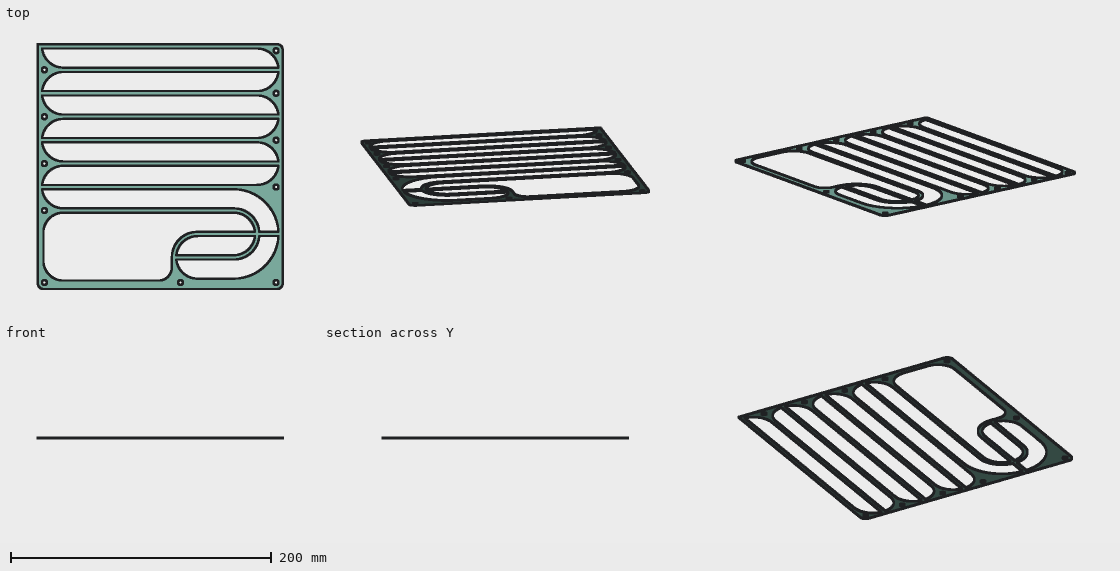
import cadquery as cq
import math

plate_side = 188.0
plate_thickness = 0.6
plate_corner_radius = 4.7
half_side = plate_side / 2

row_pitch = 17.98
bar_width = 3.5
side_border = 3.4
top_border = 3.55
straight_row_count = 6
last_full_row = straight_row_count
ring_upper_row = last_full_row + 1
small_turn_row = ring_upper_row + 1
bottom_row = small_turn_row + 1
half_bar = bar_width / 2
wall_x = half_side - side_border
first_row_top = half_side - top_border

turn_radius = row_pitch - half_bar
turn_outer_radius = row_pitch + half_bar
wide_turn_radius = 2 * row_pitch - half_bar
left_turn_x = -wall_x + turn_radius
right_turn_x = wall_x - turn_radius
wide_turn_x = wall_x - wide_turn_radius

small_turn_left_x = 12.3
small_turn_x = small_turn_left_x + turn_radius

opening_left_border = 4.5
opening_bottom_border = 6.7
opening_left_x = -half_side + opening_left_border
opening_bottom_y = -half_side + opening_bottom_border
opening_corner_radius = 15.0
opening_small_radius = 10.0

hole_diameter = 3.65
hole_inset = 5.15
bottom_hole_x = 15.5
hole_x = half_side - hole_inset


def row_top(row):
    """Upper edge of a row; rows are counted downward from the top border."""
    return first_row_top - row * row_pitch


def row_bottom(row):
    """Lower edge of a row."""
    return row_top(row + 1) + bar_width


def arc_reach(radius):
    """Sideways reach of a turn where it meets the edge of the bar that it is centred on."""
    return math.sqrt(radius**2 - half_bar**2)


def straight_row(row):
    """Opening of one row: it turns about the bar above at one end and the bar below at the other."""
    if row % 2 == 0:
        left_corner_y, right_corner_y = row_top(row), row_bottom(row)
        bend = -turn_radius
    else:
        left_corner_y, right_corner_y = row_bottom(row), row_top(row)
        bend = turn_radius
    return (
        cq.Workplane("XY")
        .moveTo(left_turn_x - arc_reach(turn_radius), left_corner_y)
        .radiusArc((left_turn_x, right_corner_y), bend)
        .lineTo(right_turn_x + arc_reach(turn_radius), right_corner_y)
        .radiusArc((right_turn_x, left_corner_y), bend)
        .close()
        .extrude(plate_thickness)
    )


def upper_wide_turn():
    """Last full-width row with the upper half of the wide turn."""
    row = last_full_row
    crossbar_top = row_bottom(ring_upper_row)
    return (
        cq.Workplane("XY")
        .moveTo(left_turn_x - arc_reach(turn_radius), row_top(row))
        .radiusArc((left_turn_x, row_bottom(row)), -turn_radius)
        .lineTo(wide_turn_x, row_bottom(row))
        .radiusArc((wide_turn_x + arc_reach(turn_outer_radius), crossbar_top), turn_outer_radius)
        .lineTo(wide_turn_x + arc_reach(wide_turn_radius), crossbar_top)
        .radiusArc((wide_turn_x, row_top(row)), -wide_turn_radius)
        .close()
        .extrude(plate_thickness)
    )


def lower_wide_turn():
    """Lower half of the wide turn, ending at the left under the small turn."""
    row = bottom_row
    crossbar_bottom = row_top(small_turn_row)
    return (
        cq.Workplane("XY")
        .moveTo(small_turn_x - arc_reach(turn_radius), row_top(row))
        .radiusArc((small_turn_x, row_bottom(row)), -turn_radius)
        .lineTo(wide_turn_x, row_bottom(row))
        .radiusArc((wide_turn_x + arc_reach(wide_turn_radius), crossbar_bottom), -wide_turn_radius)
        .lineTo(wide_turn_x + arc_reach(turn_outer_radius), crossbar_bottom)
        .radiusArc((wide_turn_x, row_top(row)), turn_outer_radius)
        .close()
        .extrude(plate_thickness)
    )


def small_turn():
    """Opening between the crossbar and the bar below it."""
    row = small_turn_row
    return (
        cq.Workplane("XY")
        .moveTo(small_turn_x - arc_reach(turn_radius), row_bottom(row))
        .lineTo(wide_turn_x, row_bottom(row))
        .radiusArc((wide_turn_x + arc_reach(turn_radius), row_top(row)), -turn_radius)
        .lineTo(small_turn_x, row_top(row))
        .radiusArc((small_turn_x - arc_reach(turn_radius), row_bottom(row)), -turn_radius)
        .close()
        .extrude(plate_thickness)
    )


def large_opening():
    """Lower-left opening, bounded by the wide turn above and the small turn at the right."""
    row = ring_upper_row
    top_y = row_top(row)
    crossbar_top = row_bottom(row)
    right_x = small_turn_x - turn_outer_radius
    bend_y = crossbar_top - turn_outer_radius
    return (
        cq.Workplane("XY")
        .moveTo(opening_left_x, top_y - opening_corner_radius)
        .radiusArc((opening_left_x + opening_corner_radius, top_y), opening_corner_radius)
        .lineTo(wide_turn_x, top_y)
        .radiusArc((wide_turn_x + arc_reach(turn_radius), crossbar_top), turn_radius)
        .lineTo(small_turn_x, crossbar_top)
        .radiusArc((right_x, bend_y), -turn_outer_radius)
        .lineTo(right_x, opening_bottom_y + opening_small_radius)
        .radiusArc((right_x - opening_small_radius, opening_bottom_y), opening_small_radius)
        .lineTo(opening_left_x + opening_corner_radius, opening_bottom_y)
        .radiusArc((opening_left_x, opening_bottom_y + opening_corner_radius), opening_corner_radius)
        .close()
        .extrude(plate_thickness)
    )


def hole_positions():
    """Holes at the rounded ends of the bars and along the bottom border."""
    positions = [(hole_x, hole_x), (hole_x, -hole_x), (-hole_x, -hole_x), (bottom_hole_x, -hole_x)]
    for row in range(last_full_row + 1):
        side = -1 if row % 2 == 0 else 1
        positions.append((side * hole_x, row_bottom(row) - half_bar))
    return positions


result = (
    cq.Workplane("XY")
    .rect(plate_side, plate_side)
    .extrude(plate_thickness)
    .edges("|Z and (>X or <Y)")
    .fillet(plate_corner_radius)
)
for row_index in range(straight_row_count):
    result = result.cut(straight_row(row_index))
for opening in (upper_wide_turn(), lower_wide_turn(), small_turn(), large_opening()):
    result = result.cut(opening)
result = result.cut(
    cq.Workplane("XY").pushPoints(hole_positions()).circle(hole_diameter / 2).extrude(plate_thickness)
)